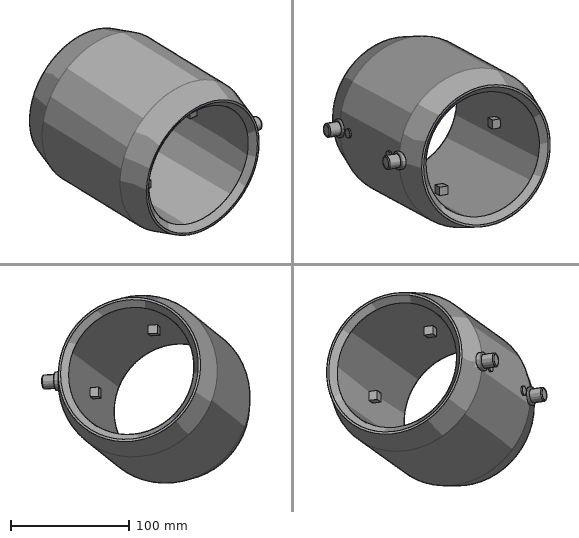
import cadquery as cq

length = 153.0
outer_radius = 70.0
taper_length = length / 6
end_radius = 62.5
bore_radius = 55.0
mouth_radius = 60.5
mouth_depth = mouth_radius - bore_radius

stop_count = 4
stop_width = 8.0
stop_tip_radius = 47.5
stop_length = 8.0

terminal_x = length / 2 - taper_length
terminal_tip_y = 83.0
pin_radius = 6.0
pin_chamfer = 1.0
collar_radius = 8.0
collar_top_y = 71.8
collar_fillet = 0.5
indicator_x = 35.0
indicator_radius = 4.0
indicator_top_y = 71.4

wall_mid_radius = (bore_radius + end_radius) / 2


def make_sleeve():
    """Revolve the wall section about the X axis."""
    half = length / 2
    wall = (
        cq.Workplane("XY")
        .moveTo(-half, mouth_radius)
        .lineTo(-half, end_radius)
        .lineTo(-half + taper_length, outer_radius)
        .lineTo(half - taper_length, outer_radius)
        .lineTo(half, end_radius)
        .lineTo(half, mouth_radius)
        .lineTo(half - mouth_depth, bore_radius)
        .lineTo(-half + mouth_depth, bore_radius)
        .close()
    )
    return wall.revolve(360, (0, 0, 0), (1, 0, 0))


def make_stop(index):
    """Block standing inward from the bore, turned to its place about X."""
    height = wall_mid_radius - stop_tip_radius
    block = cq.Workplane("XY").box(stop_length, stop_width, height, centered=(True, True, False))
    angle = index * 360 / stop_count
    return block.translate((0, 0, stop_tip_radius)).rotate((0, 0, 0), (1, 0, 0), angle)


def make_post(x, radius, top_y):
    """Round post along +Y, rooted inside the sleeve wall."""
    base = cq.Workplane("XZ", origin=(x, wall_mid_radius, 0))
    return base.circle(radius).extrude(wall_mid_radius - top_y)


def make_terminal(x):
    """Chamfered contact pin on a collar with a rounded rim."""
    collar = make_post(x, collar_radius, collar_top_y).faces(">Y").edges().fillet(collar_fillet)
    pin = make_post(x, pin_radius, terminal_tip_y).faces(">Y").edges().chamfer(pin_chamfer)
    return collar.union(pin)


result = make_sleeve()
for stop_index in range(stop_count):
    result = result.union(make_stop(stop_index))
for side in (-1, 1):
    result = result.union(make_terminal(side * terminal_x))
    result = result.union(make_post(side * indicator_x, indicator_radius, indicator_top_y))